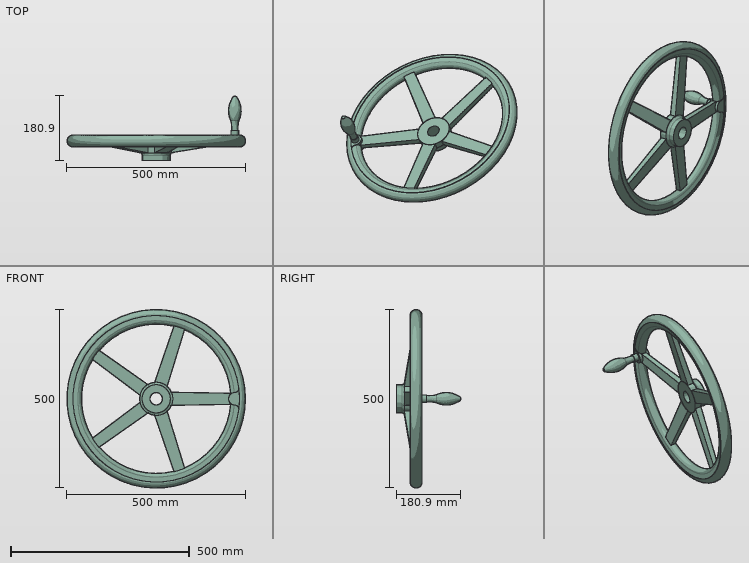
import cadquery as cq
import math


wheel_diameter = 500.0
rim_thickness = 34.0
rim_front_y = 38.0
rim_inner_radius = 208.5
rim_nose_radius = 13.0
rim_taper_deg = 10.0

bore_diameter = 34.0
collar_diameter = 79.0
collar_length = 15.0
hub_flare_radius = 7.0
hub_back_y = 41.5

spoke_count = 5
spoke_start_radius = 28.0
spoke_end_radius = 214.0
spoke_start_width = 37.8
spoke_end_width = 31.6
spoke_start_front_y = 19.7
spoke_start_back_y = 38.0
spoke_end_front_y = 49.5
spoke_end_back_y = 63.0

handle_offset = 220.0
boss_radius = 17.5
boss_blend_radius = 12.0
handle_shank_diameter = 22.0
handle_shank_length = 12.0
handle_neck_radius = 9.3
handle_neck_length = 28.0
handle_neck_end_slope = 2.2
handle_grip_start_radius = 12.0
handle_grip_radius = 18.0
handle_grip_widest_offset = 28.0
handle_grip_length = 67.0
handle_tip_radius = 5.0
overall_length = 180.94

rim_round_radius = rim_thickness / 2
step_radius = wheel_diameter / 2 - rim_round_radius
rim_mid_y = rim_front_y + rim_round_radius
rim_back_y = rim_front_y + rim_thickness
rim_taper = math.radians(rim_taper_deg)
nose_center_radius = rim_inner_radius + rim_nose_radius
nose_tangent_radius = nose_center_radius - rim_nose_radius * math.sin(rim_taper)
nose_tangent_height = rim_nose_radius * math.cos(rim_taper)
web_half_height = nose_tangent_height + (step_radius - nose_tangent_radius) * math.tan(rim_taper)
hub_radius = collar_diameter / 2 + hub_flare_radius
flare_end_y = collar_length + hub_flare_radius


def revolve_profile(profile):
    """Close a (radius, Y) profile and turn it about the Y line through its origin."""
    return profile.close().revolve(360, (0, 0, 0), (0, 1, 0))


def make_rim():
    profile = (
        cq.Workplane("XY")
        .moveTo(step_radius, rim_front_y)
        .threePointArc((wheel_diameter / 2, rim_mid_y), (step_radius, rim_back_y))
        .lineTo(step_radius, rim_mid_y + web_half_height)
        .lineTo(nose_tangent_radius, rim_mid_y + nose_tangent_height)
        .threePointArc(
            (rim_inner_radius, rim_mid_y),
            (nose_tangent_radius, rim_mid_y - nose_tangent_height),
        )
        .lineTo(step_radius, rim_mid_y - web_half_height)
    )
    return revolve_profile(profile)


def make_hub():
    """Collar that flares out through a concave quarter round to the hub body."""
    collar_radius = collar_diameter / 2
    arc_offset = hub_flare_radius * math.sqrt(0.5)
    profile = (
        cq.Workplane("XY")
        .lineTo(collar_radius, 0)
        .lineTo(collar_radius, collar_length)
        .threePointArc(
            (hub_radius - arc_offset, collar_length + arc_offset),
            (hub_radius, flare_end_y),
        )
        .lineTo(hub_radius, hub_back_y)
        .lineTo(0, hub_back_y)
    )
    return revolve_profile(profile)


def make_spoke():
    """Spoke along +X, lofted between its rectangular end sections."""
    start_y = (spoke_start_front_y + spoke_start_back_y) / 2
    end_y = (spoke_end_front_y + spoke_end_back_y) / 2
    return (
        cq.Workplane("YZ", origin=(spoke_start_radius, 0, 0))
        .center(start_y, 0)
        .rect(spoke_start_back_y - spoke_start_front_y, spoke_start_width)
        .workplane(offset=spoke_end_radius - spoke_start_radius)
        .center(end_y - start_y, 0)
        .rect(spoke_end_back_y - spoke_end_front_y, spoke_end_width)
        .loft(ruled=True)
    )


def make_handle_boss():
    """Round boss in the rim web, blended on both sides into the step wall."""
    blend_center_radius = step_radius - boss_blend_radius
    center_distance = boss_radius + boss_blend_radius
    blend_x = (blend_center_radius**2 + handle_offset**2 - center_distance**2) / (2 * handle_offset)
    blend_z = math.sqrt(blend_center_radius**2 - blend_x**2)

    boss_share = boss_radius / center_distance
    boss_touch_x = handle_offset + (blend_x - handle_offset) * boss_share
    boss_touch_z = blend_z * boss_share
    wall_share = step_radius / blend_center_radius
    wall_touch_x = blend_x * wall_share
    wall_touch_z = blend_z * wall_share

    toward_x = (boss_touch_x + wall_touch_x) / 2 - blend_x
    toward_z = (boss_touch_z + wall_touch_z) / 2 - blend_z
    reach = boss_blend_radius / math.hypot(toward_x, toward_z)
    blend_mid_x = blend_x + toward_x * reach
    blend_mid_z = blend_z + toward_z * reach

    front_y = rim_mid_y - web_half_height
    return (
        cq.Workplane("XZ", origin=(0, front_y, 0))
        .moveTo(wall_touch_x, wall_touch_z)
        .threePointArc((blend_mid_x, blend_mid_z), (boss_touch_x, boss_touch_z))
        .threePointArc((handle_offset - boss_radius, 0), (boss_touch_x, -boss_touch_z))
        .threePointArc((blend_mid_x, -blend_mid_z), (wall_touch_x, -wall_touch_z))
        .threePointArc((step_radius, 0), (wall_touch_x, wall_touch_z))
        .close()
        .extrude(-2 * web_half_height)
    )


def make_handle():
    """Turned handle: straight shank, waisted neck, bulging grip and short conical tip."""
    shank_radius = handle_shank_diameter / 2
    shank_end = rim_back_y + handle_shank_length
    neck_end = shank_end + handle_neck_length
    widest_y = neck_end + handle_grip_widest_offset
    grip_end = neck_end + handle_grip_length
    neck_end_direction = (1, handle_neck_end_slope)
    profile = (
        cq.Workplane("XY", origin=(handle_offset, 0, 0))
        .moveTo(0, rim_mid_y)
        .lineTo(shank_radius, rim_mid_y)
        .lineTo(shank_radius, shank_end)
        .lineTo(handle_neck_radius, shank_end)
        .spline(
            [(handle_grip_start_radius, neck_end)],
            tangents=[(0, 1), neck_end_direction],
            includeCurrent=True,
        )
        .spline(
            [(handle_grip_radius, widest_y), (handle_tip_radius, grip_end)],
            includeCurrent=True,
        )
        .lineTo(0, overall_length)
    )
    return revolve_profile(profile)


def make_bore():
    return cq.Workplane("XZ").circle(bore_diameter / 2).extrude(-hub_back_y)


wheel = make_rim().union(make_hub())
spoke = make_spoke()
for index in range(spoke_count):
    spoke_angle = index * 360 / spoke_count
    wheel = wheel.union(spoke.rotate((0, 0, 0), (0, 1, 0), spoke_angle))
wheel = wheel.union(make_handle_boss()).union(make_handle())
result = wheel.cut(make_bore())